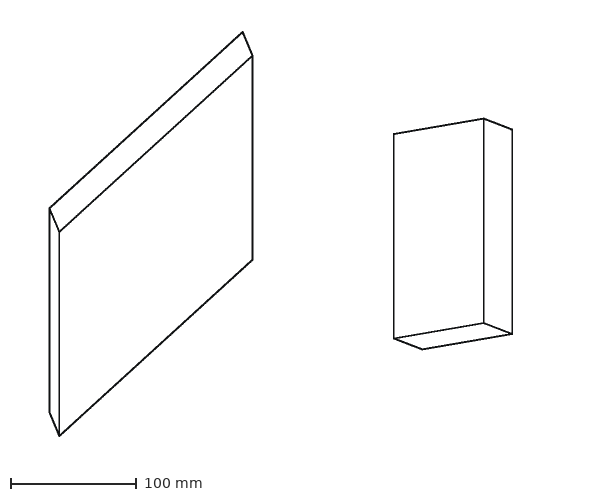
import cadquery as cq

thickness = 25.5
width = 161.5
height = 422.0
slope_rise = width

half_width = width / 2
half_height = height / 2
corners = [
    (-half_width, -half_height),
    (half_width, -half_height + slope_rise),
    (half_width, half_height),
    (-half_width, half_height - slope_rise),
]

result = cq.Workplane("YZ").polyline(corners).close().extrude(thickness / 2, both=True)